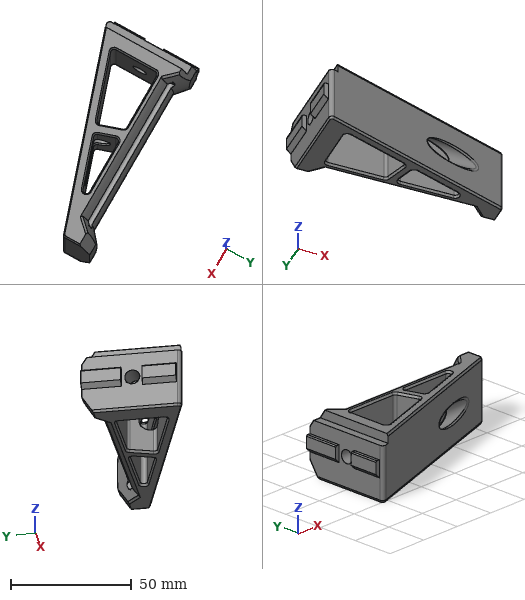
import cadquery as cq
import math

length = 92.0
depth = 41.95
height = 30.0
mid_z = height / 2

flange_x = 2.0
tip_depth = 12.7
slope_angle = math.radians(18.35)
corner_radius = 1.6
edge_width = 0.55
edge_height = 1.1

back_corner_depth = 5.0
back_corner_height = 7.6
step_x = 5.9
step_z = 25.8

bar_thickness = 4.2
window_x = 12.05
window_y = -12.5
strut_x = 41.9
window_radius = 1.5
window_edge_width = 0.6

tab_bottom = 11.0
tab_top = 19.1
tab_bevel = 0.55
tab_spans = [(0, -16.7), (-25.8, -40.0)]

screw_y = -21.3
screw_diameter = 6.3
tool_diameter = 8.5
tool_edge = 0.6

saddle_radius = 21.5
saddle_y = -4.4
saddle_start = 13.6
saddle_end = 80.4
flare_angle = math.radians(39.5)
saddle_edge = 0.7

groove_diameter = 4.3
groove_y = -6.9
groove_offset_z = 8.65
groove_start = 11.8
groove_end = 82.1

slope = math.tan(slope_angle)


def slope_y(x, inset=0.0):
    """Y at x on a line parallel to the sloping face and inset into the bracket."""
    return -tip_depth - (length - x) * slope + inset / math.cos(slope_angle)


def prism(points):
    """Upright prism over the full height on a polygon of XY points."""
    return cq.Workplane("XY").polyline(points).close().extrude(height)


def rim_layer(wire, width):
    """Layer of one edge height on the given wire, narrowing upwards by width."""
    taper = math.degrees(math.atan2(width, edge_height))
    return cq.Workplane(obj=wire).toPending().extrude(edge_height, taper=taper)


def rod(diameter, y, z, x_start, x_end):
    """Cylinder along X."""
    plane = cq.Workplane("YZ", origin=(x_start, y, z))
    return plane.circle(diameter / 2).extrude(x_end - x_start)


def make_bracket():
    """Wedge-shaped body with rounded corners and bevelled upper and lower edges."""
    corners = [(flange_x, 0), (length, 0), (length, slope_y(length)), (flange_x, slope_y(flange_x))]
    wedge = prism(corners)
    front_edges = [edge for edge in wedge.edges("|Z").vals() if edge.Center().y < -corner_radius]
    rounded = wedge.newObject(front_edges).fillet(corner_radius)
    outline = rounded.faces("<Z").wires().val()
    core = cq.Workplane(obj=outline).toPending().extrude(height - 2 * edge_height)
    core = core.translate((0, 0, edge_height))
    rim = rim_layer(outline, edge_width)
    upper = rim.translate((0, 0, height - edge_height))
    lower = rim.mirror("XY").translate((0, 0, edge_height))
    return core.union(upper).union(lower)


def make_saddle_block():
    """Plain block with the saddle cut into its Y = 0 side and its flared ends bevelled."""
    reach = saddle_start
    flared_radius = saddle_radius + reach * math.tan(flare_angle)
    rim_radius = saddle_radius + depth
    half_section = [
        (saddle_start, saddle_radius),
        (saddle_start - reach, flared_radius),
        (saddle_start - reach, rim_radius),
        (saddle_end + reach, rim_radius),
        (saddle_end + reach, flared_radius),
        (saddle_end, saddle_radius),
    ]
    ring = cq.Workplane("XY").polyline(half_section).close().revolve(360, (0, 0), (1, 0))
    ring = ring.translate((0, saddle_y - saddle_radius, mid_z))
    block = prism([(0, 0), (length, 0), (length, -depth), (0, -depth)])
    saddle_side = prism([(0, 0), (length, 0), (length, window_y), (0, window_y)])
    block = block.cut(ring.intersect(saddle_side))
    flat_faces = block.faces("<Z or >Z")
    flare_rims = [edge for edge in flat_faces.edges().vals() if edge.geomType() == "HYPERBOLA"]
    return block.newObject(flare_rims).chamfer(saddle_edge)


def make_back_corner(z, direction):
    """Wedge that removes one long corner of the saddle side; direction points out of the part."""
    section = [(0, z), (-back_corner_depth, z), (0, z - direction * back_corner_height)]
    return cq.Workplane("YZ").polyline(section).close().extrude(length)


def make_tab(y_start, y_end):
    """Tab with a small bevel above and a 45 degree underside."""
    profile = [
        (flange_x, tab_bottom),
        (0, tab_bottom + flange_x),
        (0, tab_top - tab_bevel),
        (tab_bevel, tab_top),
        (flange_x, tab_top),
    ]
    plane = cq.Workplane("XZ", origin=(0, y_start, 0))
    return plane.polyline(profile).close().extrude(y_start - y_end)


def strut_side(offset):
    """Upper and lower end of a strut side; the strut stands square to the sloping bar."""
    top_x = strut_x + offset / math.cos(slope_angle)
    gap = window_y - slope_y(top_x, bar_thickness)
    foot_x = top_x + gap * math.sin(slope_angle) * math.cos(slope_angle)
    return (top_x, window_y), (foot_x, slope_y(foot_x, bar_thickness))


def make_window(corners):
    """Rounded window through the full height, bevelled at both ends."""
    opening = prism(corners).edges("|Z").fillet(window_radius)
    outline = opening.faces("<Z").wires().val().offset2D(window_edge_width)[0]
    rim = rim_layer(outline, window_edge_width)
    return opening.union(rim).union(rim.mirror("XY").translate((0, 0, height)))


result = make_bracket().intersect(make_saddle_block())
result = result.cut(make_back_corner(height, 1)).cut(make_back_corner(0, -1))
for side in (-1, 1):
    groove_z = mid_z + side * groove_offset_z
    result = result.cut(rod(groove_diameter, groove_y, groove_z, groove_start, groove_end))

step = cq.Workplane("XY", origin=(0, -depth, step_z)).box(step_x, depth, height, centered=False)
result = result.cut(step)

near_top, near_foot = strut_side(-bar_thickness / 2)
far_top, far_foot = strut_side(bar_thickness / 2)
window_end = length + (window_y - slope_y(length, bar_thickness)) / slope
flange_window = [(window_x, window_y), near_top, near_foot, (window_x, slope_y(window_x, bar_thickness))]
tip_window = [far_top, (window_end, window_y), far_foot]
for corners in (flange_window, tip_window):
    result = result.cut(make_window(corners))

result = result.cut(rod(tool_diameter, screw_y, mid_z, near_top[0], length))
bar_rims = [
    edge
    for edge in result.edges().vals()
    if edge.geomType() == "ELLIPSE" and edge.Center().x > far_foot[0]
]
result = result.newObject(bar_rims).chamfer(tool_edge)

result = result.cut(rod(screw_diameter, screw_y, mid_z, 0, window_x))
for y_start, y_end in tab_spans:
    result = result.union(make_tab(y_start, y_end))